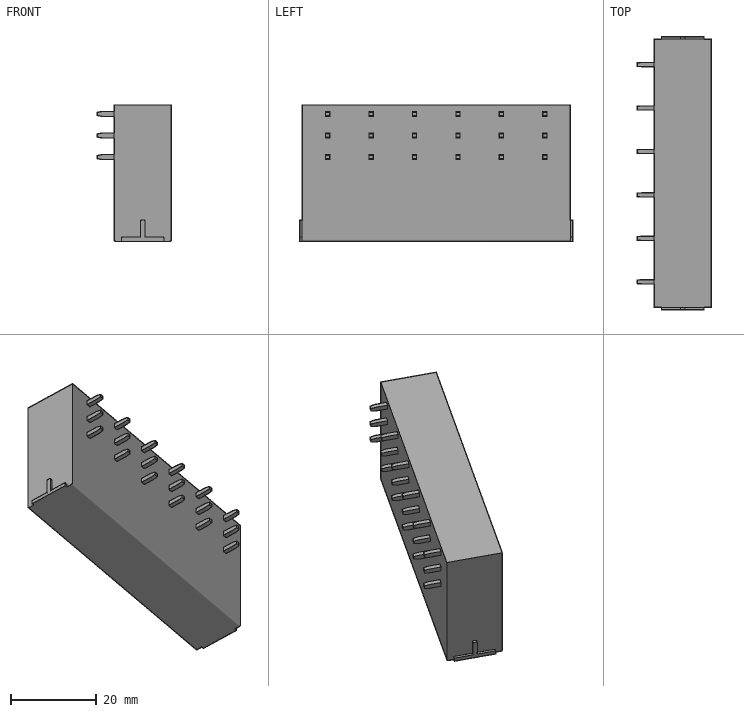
import cadquery as cq

total_depth = 17.4
total_length = 64.0
height = 32.0

pin_length = 4.0
rib_projection = 0.6
body_depth = total_depth - pin_length
body_length = total_length - 2 * rib_projection
bottom_edge_radius = 0.45

rib_foot_width = 10.0
rib_foot_height = 1.0
rib_stem_width = 1.0
rib_stem_height = 5.0
rib_corner_radius = 0.2

pin_columns = 6
pin_rows = 3
column_pitch = 10.2
row_pitch = 5.05
top_row_drop = 2.1
pin_width = 1.0
pin_height = 1.2
tip_length = 1.15
tip_width = 0.9
tip_height = 0.8


def make_body():
    """Rectangular housing, standing on Z = 0, with its two long bottom edges rounded."""
    body = cq.Workplane("XY").box(body_depth, body_length, height, centered=(True, True, False))
    return body.edges("|Y and <Z").fillet(bottom_edge_radius)


def make_ribs():
    """One T-profile bar along Y whose ends stand proud of both end faces."""
    foot = cq.Workplane("XY").box(
        rib_foot_width, total_length, rib_foot_height, centered=(True, True, False)
    )
    foot = foot.edges("|Y and >Z").fillet(rib_corner_radius)
    stem = cq.Workplane("XY").box(
        rib_stem_width, total_length, rib_stem_height, centered=(True, True, False)
    )
    stem = stem.edges("|Y and >Z").fillet(rib_corner_radius)
    return foot.union(stem)


def make_pin(y, z):
    """Rectangular pin pointing toward -X that narrows to a tapered tip."""
    shank_length = pin_length - tip_length
    face = cq.Workplane("YZ", origin=(-body_depth / 2, y, z))
    shank = face.rect(pin_width, pin_height).extrude(-shank_length)
    tip = (
        face.workplane(offset=-shank_length)
        .rect(pin_width, pin_height)
        .workplane(offset=-tip_length)
        .rect(tip_width, tip_height)
        .loft(ruled=True)
    )
    return shank.union(tip)


result = make_body().union(make_ribs())

for column in range(pin_columns):
    pin_y = (column - (pin_columns - 1) / 2) * column_pitch
    for row in range(pin_rows):
        pin_z = height - top_row_drop - row * row_pitch
        result = result.union(make_pin(pin_y, pin_z))